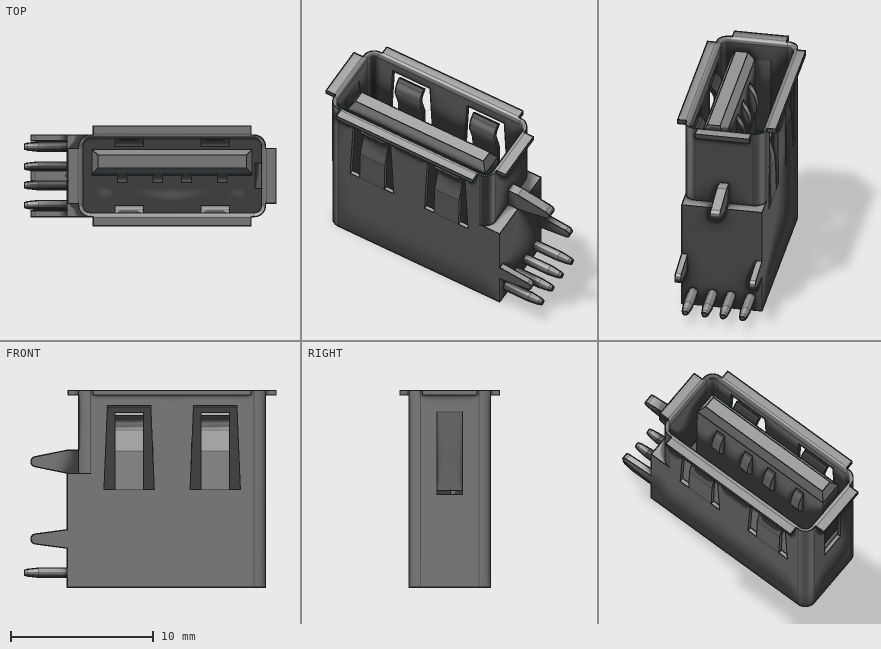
import cadquery as cq
import math


height = 13.8
shell_length = 13.1
shell_width = 5.74
shell_corner_radius = 0.81
wall = 0.28
mid_x = 10.36
shell_left_x = mid_x - shell_length / 2
shell_right_x = mid_x + shell_length / 2
cavity_floor_z = 5.0

block_left_x = 3.0
block_top_z = 8.0

flange_thickness = 0.34
flange_reach_x = 17.65 - shell_right_x
flange_reach_y = 0.64
long_flange_length = 11.08
short_flange_length = 3.85
rim_radius = 0.34

spring_offset_x = 3.02
spring_width = 2.0
window_bottom_z = 6.87
window_top_z = 12.75
window_bottom_width = 3.53
window_top_width = 3.04
spring_kink_z = 9.55
spring_kink_inset = 0.09
spring_bend_y = 3.23
spring_bend_z = 11.23
spring_bend_radius = 0.88
spring_lean = math.radians(13.6)
spring_flare = math.radians(45)
spring_lip = 0.28

flap_width = 1.8
flap_depth = 0.46
flap_top_z = 12.3
flap_window_bottom_z = 6.51
flap_tip_gap = 0.28

tongue_length = 11.2
tongue_front_y = 0.15
tongue_base_front_y = 0.04
tongue_back_y = 1.85
tongue_top_z = 13.41
tongue_chamfer_inset = 0.4
tongue_chamfer_height = 0.76

contact_width = 0.67
contact_offsets = (-3.51, -1.0, 1.0, 3.51)
contact_middle_z = 10.2
contact_half_height = 1.66
contact_bow_half_height = 1.41
contact_shoulder_depth = 0.1
contact_depth = 0.6

leg_tip_x = 0.46
leg_tip_length = 0.3
leg_tip_half_height = 0.35
side_leg_z = 3.39
side_leg_half_height = 0.65
side_leg_thickness = 0.42
middle_leg_z = 8.8
middle_leg_half_height = 0.81
middle_leg_thickness = 0.69

pin_offsets = (-2.05, -0.65, 0.65, 2.05)
pin_z = 1.02
pin_radius = 0.34
pin_taper_x = 1.0
pin_neck_x = 0.21
pin_neck_radius = 0.25
pin_tip_radius = 0.18


def box(x_min, x_max, y_min, y_max, z_min, z_max):
    """Axis-aligned block between the given limits."""
    size = (x_max - x_min, y_max - y_min, z_max - z_min)
    return cq.Workplane("XY").box(*size, centered=False).translate((x_min, y_min, z_min))


def rounded_prism(inset, z_min, z_max):
    """Shell outline shrunk by the inset, running between two heights."""
    return (
        cq.Workplane("XY", origin=(mid_x, 0, z_min))
        .rect(shell_length - 2 * inset, shell_width - 2 * inset)
        .extrude(z_max - z_min)
        .edges("|Z")
        .fillet(shell_corner_radius - inset)
    )


def extrude_along_x(outline, center_x, width):
    """Closed YZ wire extruded to the given width about center_x."""
    return outline.extrude(width / 2, both=True).translate((center_x, 0, 0))


def make_body():
    """Shell with its flared rim and open cavity, plus the rear block."""
    flange_bottom_z = height - flange_thickness
    half_long = long_flange_length / 2
    half_short = short_flange_length / 2
    half_span_x = shell_length / 2 + flange_reach_x
    half_span_y = shell_width / 2 + flange_reach_y
    long_flanges = box(
        mid_x - half_long, mid_x + half_long, -half_span_y, half_span_y, flange_bottom_z, height
    )
    short_flanges = box(
        mid_x - half_span_x, mid_x + half_span_x, -half_short, half_short, flange_bottom_z, height
    )
    block = box(block_left_x, mid_x, -shell_width / 2, shell_width / 2, 0, block_top_z)
    outside = rounded_prism(0, 0, height).union(long_flanges).union(short_flanges).union(block)

    rounded_mouth = (
        cq.Workplane("XY", origin=(mid_x, 0, 0))
        .rect(4 * half_span_x, 4 * half_span_y)
        .extrude(height)
        .cut(rounded_prism(wall, cavity_floor_z, height))
        .faces(">Z")
        .edges(cq.selectors.BoxSelector(
            (shell_left_x, -shell_width / 2, height - wall),
            (shell_right_x, shell_width / 2, height + wall),
            boundingbox=True,
        ))
        .fillet(rim_radius)
    )
    return outside.intersect(rounded_mouth)


def make_window(center_x):
    """Tapered opening through both long walls."""
    half_bottom = window_bottom_width / 2
    half_top = window_top_width / 2
    return (
        cq.Workplane("XZ")
        .polyline([
            (center_x - half_bottom, window_bottom_z),
            (center_x + half_bottom, window_bottom_z),
            (center_x + half_top, window_top_z),
            (center_x - half_top, window_top_z),
        ])
        .close()
        .extrude(shell_width, both=True)
    )


def make_spring(center_x):
    """Finger in the +Y wall: leans inward, bends round and flares back out at its lip."""

    def on_bend(radius, angle):
        return (
            spring_bend_y - radius * math.cos(angle),
            spring_bend_z + radius * math.sin(angle),
        )

    def lip_end(radius):
        y, z = on_bend(radius, spring_flare)
        return (y + spring_lip * math.sin(spring_flare), z + spring_lip * math.cos(spring_flare))

    outer_radius = spring_bend_radius
    inner_radius = spring_bend_radius + wall
    bend_middle = (spring_flare - spring_lean) / 2
    outer_y = shell_width / 2
    inner_y = outer_y - wall
    outline = (
        cq.Workplane("YZ")
        .moveTo(outer_y, window_bottom_z)
        .lineTo(outer_y - spring_kink_inset, spring_kink_z)
        .lineTo(*on_bend(outer_radius, -spring_lean))
        .threePointArc(on_bend(outer_radius, bend_middle), on_bend(outer_radius, spring_flare))
        .lineTo(*lip_end(outer_radius))
        .lineTo(*lip_end(inner_radius))
        .lineTo(*on_bend(inner_radius, spring_flare))
        .threePointArc(on_bend(inner_radius, bend_middle), on_bend(inner_radius, -spring_lean))
        .lineTo(inner_y - spring_kink_inset, spring_kink_z)
        .lineTo(inner_y, window_bottom_z)
        .close()
    )
    return extrude_along_x(outline, center_x, spring_width)


def make_flap_window():
    """Rectangular opening left in the right-hand short wall behind the flap."""
    half_width = flap_width / 2
    return box(
        shell_right_x - wall, shell_right_x, -half_width, half_width, flap_window_bottom_z, flap_top_z
    )


def make_flap():
    """Straight flap leaning into the cavity towards its lower, free end."""
    tip_z = flap_window_bottom_z + flap_tip_gap
    inner_x = shell_right_x - wall
    return (
        cq.Workplane("XZ")
        .polyline([
            (shell_right_x, flap_top_z),
            (inner_x, flap_top_z),
            (inner_x - flap_depth, tip_z),
            (shell_right_x - flap_depth, tip_z),
        ])
        .close()
        .extrude(flap_width / 2, both=True)
    )


def make_tongue():
    """Insulator blade on the cavity floor: chamfered all round its top, drafted in front."""
    half_length = tongue_length / 2
    blade = (
        box(
            mid_x - half_length, mid_x + half_length, tongue_front_y, tongue_back_y,
            cavity_floor_z, tongue_top_z,
        )
        .faces(">Z")
        .chamfer(tongue_chamfer_height, tongue_chamfer_inset)
    )
    front_draft = (
        cq.Workplane("YZ")
        .polyline([
            (tongue_base_front_y, cavity_floor_z),
            (tongue_front_y, tongue_top_z - tongue_chamfer_height),
            (tongue_front_y, cavity_floor_z),
        ])
        .close()
    )
    return blade.union(extrude_along_x(front_draft, mid_x, tongue_length))


def make_contact(center_x):
    """Bowed contact on the front of the tongue."""
    root_y = tongue_front_y + wall
    shoulder_y = tongue_front_y - contact_shoulder_depth
    peak_y = tongue_front_y - contact_depth
    outline = (
        cq.Workplane("YZ", origin=(0, 0, contact_middle_z))
        .moveTo(root_y, contact_half_height)
        .lineTo(tongue_front_y, contact_half_height)
        .lineTo(shoulder_y, contact_bow_half_height)
        .threePointArc((peak_y, 0), (shoulder_y, -contact_bow_half_height))
        .lineTo(tongue_front_y, -contact_half_height)
        .lineTo(root_y, -contact_half_height)
        .close()
    )
    return extrude_along_x(outline, center_x, contact_width)


def make_leg(center_y, center_z, half_height, thickness, root_x):
    """Flat tapering leg pointing to -X with a round nose."""
    nose_x = leg_tip_x + leg_tip_length
    return (
        cq.Workplane("XZ", origin=(0, center_y, center_z))
        .moveTo(root_x, -half_height)
        .lineTo(block_left_x, -half_height)
        .lineTo(nose_x, -leg_tip_half_height)
        .threePointArc((leg_tip_x, 0), (nose_x, leg_tip_half_height))
        .lineTo(block_left_x, half_height)
        .lineTo(root_x, half_height)
        .close()
        .extrude(thickness / 2, both=True)
    )


def make_pin(center_y):
    """Round solder pin with a tapered and chamfered end, its tip at X = 0."""
    root_x = block_left_x + wall
    return (
        cq.Workplane("XY")
        .polyline([
            (0, 0),
            (0, pin_tip_radius),
            (pin_neck_x, pin_neck_radius),
            (pin_taper_x, pin_radius),
            (root_x, pin_radius),
            (root_x, 0),
        ])
        .close()
        .revolve(360, (0, 0, 0), (1, 0, 0))
        .translate((0, center_y, pin_z))
    )


result = make_body()

for spring_x in (mid_x - spring_offset_x, mid_x + spring_offset_x):
    spring = make_spring(spring_x)
    result = result.cut(make_window(spring_x)).union(spring).union(spring.mirror("XZ"))

result = result.cut(make_flap_window()).union(make_flap()).union(make_tongue())

for offset in contact_offsets:
    result = result.union(make_contact(mid_x + offset))

side_leg_y = (shell_width - side_leg_thickness) / 2
for leg_y in (-side_leg_y, side_leg_y):
    side_leg = make_leg(
        leg_y, side_leg_z, side_leg_half_height, side_leg_thickness, block_left_x + wall
    )
    result = result.union(side_leg)

middle_leg = make_leg(
    0, middle_leg_z, middle_leg_half_height, middle_leg_thickness, shell_left_x + wall / 2
)
result = result.union(middle_leg)

for pin_y in pin_offsets:
    result = result.union(make_pin(pin_y))